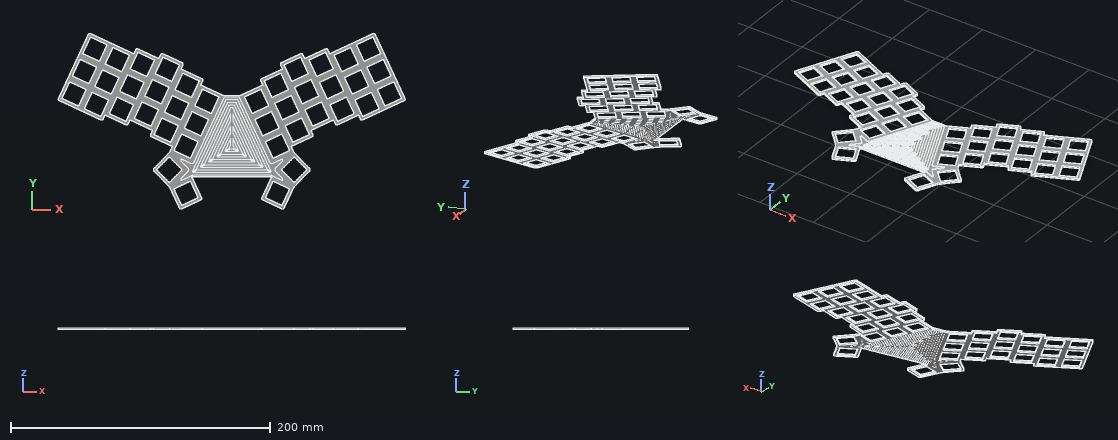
import cadquery as cq
import math

THICKNESS = 1.4
TILT = 25.0

COLUMN_SHIFTS = (0, 0, 1, 2, 1, 0)
ROWS = 3
COLUMN_SPAN = 95.2
PITCH = COLUMN_SPAN / (len(COLUMN_SHIFTS) - 1)
STAGGER = PITCH / 4
HALF_CELL = PITCH / 2
KEY_OPENING = 14.0
CORNER_RADIUS = 1.3
FIRST_U = -119.0
FIRST_V = -32.4

THUMB_AXIS_Y = -37.5
DIAMOND_X = -48.1
DIAMOND_CELL = 18.2
DIAMOND_ANGLE = 45.0

INLAY_DEPTH = THICKNESS / 2
SIDE_MARGIN = 1.2
EDGE_MARGIN = 1.3
FORK_MARGIN = 1.0
NOTCH_MARGIN = 1.98
FORK_REACH = 39.0
FORK_FILLET = 2.0

RING_COUNT = 5
FLAT_TOPPED_RINGS = 2
RIB_WIDTH = 2.0
TIP_TAB_WIDTH = 1.5
CORNER_TAB_WIDTH = 0.8

COS_TILT = math.cos(math.radians(TILT))
SIN_TILT = math.sin(math.radians(TILT))
SQUARE_DIAGONAL = math.sqrt(2)


def field_point(u, v):
    """X and Y of a point given along the left key field's tilted axes."""
    return (u * COS_TILT + v * SIN_TILT, -u * SIN_TILT + v * COS_TILT)


def below_axis(point):
    """Image of a point on the other side of the thumb axis."""
    return (point[0], 2 * THUMB_AXIS_Y - point[1])


columns = [(FIRST_U + i * PITCH, FIRST_V + shift * STAGGER) for i, shift in enumerate(COLUMN_SHIFTS)]
last_u, last_v = columns[-1]
side_u = last_u + HALF_CELL
field_low_v = last_v - HALF_CELL
field_high_v = last_v + (ROWS - 0.5) * PITCH

lowest_key = field_point(last_u, last_v)
outer_corner = field_point(last_u - HALF_CELL, field_low_v)
inner_corner = field_point(side_u, field_low_v)
diamond_key = (DIAMOND_X, THUMB_AXIS_Y)
bottom_key = below_axis(lowest_key)
triangle_top = field_point(side_u, field_high_v)[1]
triangle_bottom = below_axis(inner_corner)[1]


def prism(points, height):
    return cq.Workplane("XY").polyline(points).close().extrude(height)


def square_prism(side, centre, angle):
    square = cq.Workplane("XY").rect(side, side).extrude(THICKNESS)
    return square.rotate((0, 0, 0), (0, 0, 1), angle).translate((*centre, 0))


def field_block(u_min, u_max, v_min, v_max):
    """Block of plate with its sides along the left key field's tilted axes."""
    corners = [(u_min, v_min), (u_max, v_min), (u_max, v_max), (u_min, v_max)]
    return prism([field_point(u, v) for u, v in corners], THICKNESS)


def rounded(body):
    return body.edges("|Z").fillet(CORNER_RADIUS)


def with_mirror_image(body):
    return body.union(body.mirror("YZ"))


def triangle_points(inset_side, inset_edge):
    """Outline of the central triangle, inset; its tip is flat where the top edge cuts it."""
    u = side_u + inset_side
    top = triangle_top - inset_edge
    bottom = triangle_bottom + inset_edge
    bottom_x = (u + bottom * SIN_TILT) / COS_TILT
    top_x = (u + top * SIN_TILT) / COS_TILT
    if top_x < 0:
        return [(bottom_x, bottom), (top_x, top), (-top_x, top), (-bottom_x, bottom)]
    tip_y = -u / SIN_TILT
    return [(bottom_x, bottom), (0, tip_y), (-bottom_x, bottom)]


def inlay_triangle_points(ring_lines):
    """Triangle of the inlay, inset by a number of rib widths."""
    inset = ring_lines * RIB_WIDTH
    return triangle_points(SIDE_MARGIN + inset, EDGE_MARGIN + inset)


def make_key_field():
    """Left key field: columns with rounded corners, joined by strips along their seams."""
    spans = [(u, v - HALF_CELL, v + (ROWS - 0.5) * PITCH) for u, v in columns]
    field = field_block(side_u - CORNER_RADIUS, side_u, field_low_v, field_high_v)
    for u, low, high in spans:
        field = field.union(rounded(field_block(u - HALF_CELL, u + HALF_CELL, low, high)))
    for (u, low, high), (_, next_low, next_high) in zip(spans, spans[1:]):
        seam_u = u + HALF_CELL
        seam_low = max(low, next_low)
        seam_high = min(high, next_high)
        field = field.union(field_block(seam_u - CORNER_RADIUS, seam_u + CORNER_RADIUS, seam_low, seam_high))
    return field


def make_thumb_cells():
    """Left thumb cells and the web that joins them to the key field."""
    diamond = rounded(square_prism(DIAMOND_CELL, diamond_key, DIAMOND_ANGLE))
    bottom = rounded(square_prism(PITCH, bottom_key, TILT))
    field_side = field_point(last_u - HALF_CELL, last_v)
    half_side = DIAMOND_CELL / 2 / SQUARE_DIAGONAL
    diamond_side = (DIAMOND_X - half_side, THUMB_AXIS_Y + half_side)
    upper_web = [inner_corner, lowest_key, field_side, outer_corner, diamond_side]
    lower_web = [below_axis(point) for point in reversed(upper_web)]
    return diamond.union(bottom).union(prism(upper_web + lower_web, THICKNESS))


def cut_key_openings(plate):
    placements = [(field_point(u, v + row * PITCH), -TILT) for u, v in columns for row in range(ROWS)]
    placements += [(diamond_key, DIAMOND_ANGLE), (bottom_key, TILT)]
    for centre, angle in placements:
        plate = plate.cut(with_mirror_image(square_prism(KEY_OPENING, centre, angle)))
    return plate


def make_plate(inlay):
    half = make_key_field().union(make_thumb_cells())
    plate = with_mirror_image(half).union(prism(triangle_points(0, 0), THICKNESS))
    return cut_key_openings(plate).cut(inlay)


def fillet_upright_edge(body, point):
    """Round the upright edge that stands nearest to a point, and its mirror image."""
    for x in (point[0], -point[0]):
        edge = cq.selectors.NearestToPointSelector((x, point[1], INLAY_DEPTH / 2))
        body = body.edges("|Z").edges(edge).fillet(FORK_FILLET)
    return body


def make_inlay_blank():
    """Inlay without slots: the triangle and its two forks, which have blunt tips."""
    fork_v = field_low_v - FORK_MARGIN
    root = field_point(side_u + SIDE_MARGIN, fork_v)
    notch = (DIAMOND_X + (DIAMOND_CELL / 2 + NOTCH_MARGIN) * SQUARE_DIAGONAL, THUMB_AXIS_Y)
    tip_top = (-FORK_REACH, (fork_v + FORK_REACH * SIN_TILT) / COS_TILT)
    tip_low = (-FORK_REACH, THUMB_AXIS_Y + notch[0] + FORK_REACH)
    triangle = inlay_triangle_points(0)
    bottom_corner = triangle[0]
    base_x = (fork_v - below_axis(bottom_corner)[1] * COS_TILT) / SIN_TILT
    fork = [root, tip_top, tip_low, notch, below_axis(tip_low), below_axis(tip_top)]
    fork += [(base_x, bottom_corner[1]), bottom_corner]

    blank = prism(triangle, INLAY_DEPTH).union(with_mirror_image(prism(fork, INLAY_DEPTH)))
    for corner in (root, notch):
        blank = fillet_upright_edge(blank, corner)
    return blank


def make_tabs():
    """Bridges along the bisectors of the sharp corners, meeting inside the innermost ring."""
    corner_x, corner_y = inlay_triangle_points(0)[0]
    bisector = (90 - TILT) / 2
    length = -corner_x / math.cos(math.radians(bisector))
    corner_tab = cq.Workplane("XY").rect(length, CORNER_TAB_WIDTH).extrude(INLAY_DEPTH)
    corner_tab = corner_tab.translate((length / 2, 0, 0)).rotate((0, 0, 0), (0, 0, 1), bisector)
    corner_tab = corner_tab.translate((corner_x, corner_y, 0))

    top = triangle_top - EDGE_MARGIN - 2 * FLAT_TOPPED_RINGS * RIB_WIDTH
    foot = inlay_triangle_points(2 * RING_COUNT)[0][1]
    half_width = TIP_TAB_WIDTH / 2
    tip_outline = [(-half_width, foot), (half_width, foot), (half_width, top), (-half_width, top)]
    tip_tab = prism(tip_outline, INLAY_DEPTH)
    return with_mirror_image(corner_tab).union(tip_tab)


def cut_slots(blank):
    tabs = make_tabs()
    for ring in range(RING_COUNT):
        outside = prism(inlay_triangle_points(2 * ring + 1), INLAY_DEPTH)
        inside = prism(inlay_triangle_points(2 * ring + 2), INLAY_DEPTH)
        blank = blank.cut(outside.cut(inside).cut(tabs))
    return blank


inlay = cut_slots(make_inlay_blank()).translate((0, 0, THICKNESS - INLAY_DEPTH))
plate = make_plate(inlay)
result = cq.Compound.makeCompound([plate.val(), inlay.val()])